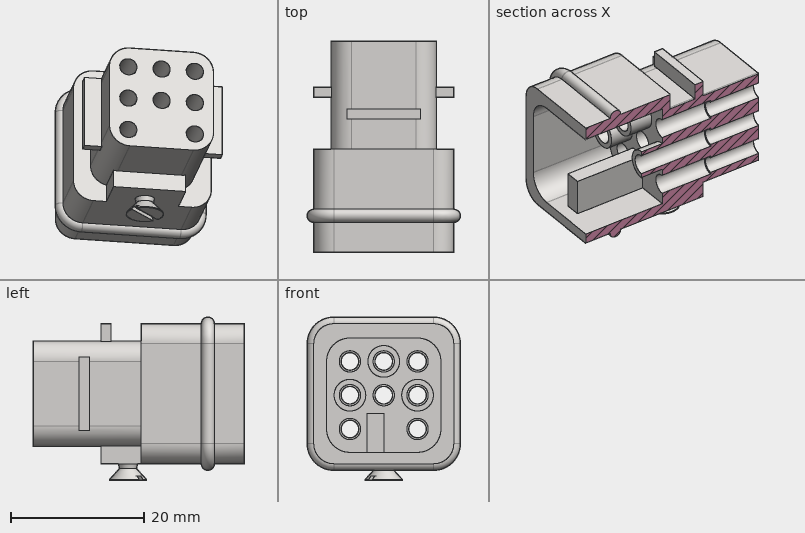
import cadquery as cq


total_length = 31.7
hood_width = 21.02
hood_length = 15.5
hood_corner = 3.0
rear_width = 15.85
rear_corner = 3.07

seal_diameter = 2.0
seal_y = 5.48

cavity_width = 17.15
cavity_corner = 3.5
cavity_depth = 14.0
cavity_z = -0.22

hole_pitch = 5.07
hole_diameter = 2.6
counterbore_diameter = 3.2
counterbore_depth = 8.88
collar_diameter = 4.75
collar_height = 3.8
hole_places = [(-1, 1), (0, 1), (1, 1), (-1, 0), (0, 0), (1, 0), (-1, -1), (1, -1)]
collar_places = [(0, 1), (-1, 0), (1, 0)]

key_width = 2.5
key_height = 5.85
key_setback = 2.1

rib_length = 11.0
rib_thickness = 1.52
side_rib_y = 24.03
top_rib_y = 20.75
block_end_y = top_rib_y + rib_thickness / 2

screw_y = 17.47
shank_top_diameter = 2.92
shank_tip_diameter = 2.6
shank_length = 0.73
head_diameter = 5.58
head_cone_height = 1.62
head_rim_height = 0.15
slot_width = 0.8
slot_depth = 0.63
slot_angle = 45.0

overlap = 0.32

hood_half = hood_width / 2
rear_half = rear_width / 2
cavity_half = cavity_width / 2


def block(x_range, y_range, z_range):
    """Box spanning the given (low, high) limits along each axis."""
    lows, highs = zip(x_range, y_range, z_range)
    sizes = [high - low for low, high in zip(lows, highs)]
    return cq.Workplane("XY").box(*sizes, centered=False).translate(lows)


def rounded_bar(width, corner, y_start, y_end):
    """Square bar along Y with rounded long edges."""
    half = width / 2
    bar = block((-half, half), (y_start, y_end), (-half, half))
    return bar.edges("|Y").fillet(corner)


def contact_cylinders(places, diameter, y_start, y_end):
    """Cylinders along Y at the given grid places."""
    points = [(column * hole_pitch, row * hole_pitch + cavity_z) for column, row in places]
    return (
        cq.Workplane("XZ", origin=(0, y_start, 0))
        .pushPoints(points)
        .circle(diameter / 2)
        .extrude(y_start - y_end)
    )


def seal_ring():
    """Round cord swept around the hood outline."""
    path = rounded_bar(hood_width, hood_corner, seal_y, hood_length).faces("<Y").wires().val()
    profile = cq.Workplane("YZ").center(seal_y, hood_half).circle(seal_diameter / 2)
    return profile.sweep(cq.Workplane(path), transition="round")


def cavity():
    """Pocket open at the front, less the collars and the key standing in it."""
    pocket = rounded_bar(cavity_width, cavity_corner, 0, cavity_depth).translate((0, 0, cavity_z))
    collars = contact_cylinders(
        collar_places, collar_diameter, cavity_depth - collar_height, cavity_depth
    )
    key_bottom = cavity_z - cavity_half
    key = block((-key_width, 0), (key_setback, cavity_depth), (key_bottom, key_bottom + key_height))
    return pocket.cut(collars).cut(key)


def ribs_and_block():
    """Two side ribs, the top rib and the block under the rear bar."""
    half_length = rib_length / 2
    half_thickness = rib_thickness / 2
    side_range = (side_rib_y - half_thickness, side_rib_y + half_thickness)
    top_range = (top_rib_y - half_thickness, block_end_y)
    along = (-half_length, half_length)
    root = rear_half - overlap
    sides = block((-hood_half, -root), side_range, along).union(
        block((root, hood_half), side_range, along)
    )
    top = block(along, top_range, (root, hood_half))
    bottom = block(along, (hood_length - overlap, block_end_y), (-hood_half, -root))
    return sides.union(top).union(bottom)


def screw():
    """Screw pointing up into the bottom block, with a slot across its head."""
    shank_tip_z = -hood_half - shank_length
    rim_z = shank_tip_z - head_cone_height
    head_z = rim_z - head_rim_height
    body = (
        cq.Workplane("XZ")
        .moveTo(0, head_z)
        .lineTo(head_diameter / 2, head_z)
        .lineTo(head_diameter / 2, rim_z)
        .lineTo(shank_tip_diameter / 2, shank_tip_z)
        .lineTo(shank_top_diameter / 2, -hood_half)
        .lineTo(shank_top_diameter / 2, -rear_half)
        .lineTo(0, -rear_half)
        .close()
        .revolve(360, (0, 0), (0, 1))
    )
    slot = block(
        (-head_diameter, head_diameter),
        (-slot_width / 2, slot_width / 2),
        (head_z, head_z + slot_depth),
    ).rotate((0, 0, 0), (0, 0, 1), slot_angle)
    return body.cut(slot).translate((0, screw_y, 0))


result = (
    rounded_bar(hood_width, hood_corner, 0, hood_length)
    .union(rounded_bar(rear_width, rear_corner, hood_length - overlap, total_length))
    .union(seal_ring())
    .union(ribs_and_block())
    .union(screw())
    .cut(cavity())
    .cut(contact_cylinders(hole_places, hole_diameter, 0, total_length))
    .cut(contact_cylinders(hole_places, counterbore_diameter, 0, cavity_depth + counterbore_depth))
)